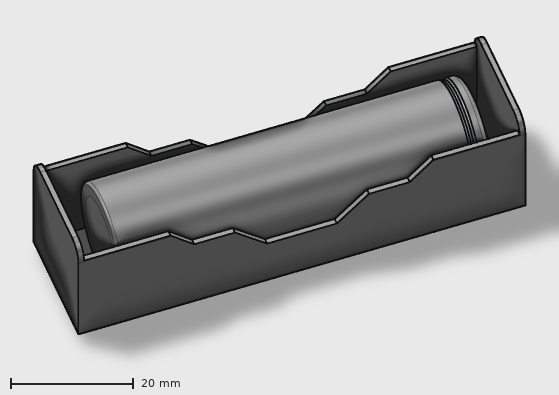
import cadquery as cq

length = 77.7
width = 20.9
end_height = 21.4
side_height = 18.5
wall = 1.0
end_corner_radius = 3.0

notch_top_half = 22.85
ledge_outer_half = 18.7
ledge_inner_half = 11.65
notch_floor_half = 6.05
ledge_z = 14.5
notch_floor_z = 9.3

peg_diameter = 2.4
peg_length = 2.0
peg_inset = 2.4

cell_diameter = 18.25
cell_length = 64.8
cell_shift_y = 1.2
cap_end_radius = 0.9
base_end_radius = 0.5
groove_offset = 2.0
groove_width = 1.4
groove_depth = 0.15
groove_floor_width = 0.5
base_cone_diameter = 13.5
base_cone_height = 0.12


def side_wall_opening():
    """Cutter that lowers both side walls to their stepped top edge."""
    inner_end = length / 2 - wall
    half_edge = [
        (notch_floor_half, notch_floor_z),
        (ledge_inner_half, ledge_z),
        (ledge_outer_half, ledge_z),
        (notch_top_half, side_height),
        (inner_end, side_height),
        (inner_end, end_height),
    ]
    mirrored_edge = [(-y, z) for y, z in reversed(half_edge)]
    return (
        cq.Workplane("YZ")
        .polyline(mirrored_edge + half_edge)
        .close()
        .extrude(width / 2, both=True)
    )


def make_holder():
    tray = (
        cq.Workplane("XY")
        .box(width, length, end_height, centered=(True, True, False))
        .edges("|Y and >Z")
        .fillet(end_corner_radius)
    )
    cavity = (
        cq.Workplane("XY", origin=(0, 0, wall))
        .box(width - 2 * wall, length - 2 * wall, end_height, centered=(True, True, False))
    )
    peg_y = length / 2 - peg_inset
    pegs = (
        cq.Workplane("XY")
        .pushPoints([(0, -peg_y), (0, peg_y)])
        .circle(peg_diameter / 2)
        .extrude(-peg_length)
    )
    return tray.cut(cavity).cut(side_wall_opening()).union(pegs)


def make_cell():
    radius = cell_diameter / 2
    base_y = cell_shift_y - cell_length / 2
    cap_y = cell_shift_y + cell_length / 2
    axis_z = wall + radius

    barrel = (
        cq.Workplane("XZ", origin=(0, base_y, axis_z))
        .circle(radius)
        .extrude(-cell_length)
    )
    barrel = barrel.faces(">Y").edges().fillet(cap_end_radius)
    barrel = barrel.faces("<Y").edges().fillet(base_end_radius)

    groove_start = cap_y - groove_offset
    groove_end = groove_start - groove_width
    flank = (groove_width - groove_floor_width) / 2
    groove = (
        cq.Workplane("XY", origin=(0, 0, axis_z))
        .moveTo(radius, groove_start)
        .lineTo(radius - groove_depth, groove_start - flank)
        .lineTo(radius - groove_depth, groove_end + flank)
        .lineTo(radius, groove_end)
        .close()
        .revolve(360, (0, 0, 0), (0, 1, 0))
    )

    base_cone = cq.Solid.makeCone(
        base_cone_diameter / 2,
        0,
        base_cone_height,
        pnt=cq.Vector(0, base_y, axis_z),
        dir=cq.Vector(0, -1, 0),
    )
    return barrel.cut(groove).union(base_cone)


holder = make_holder()
cell = make_cell()
result = cq.Compound.makeCompound([holder.solids().val(), cell.solids().val()])